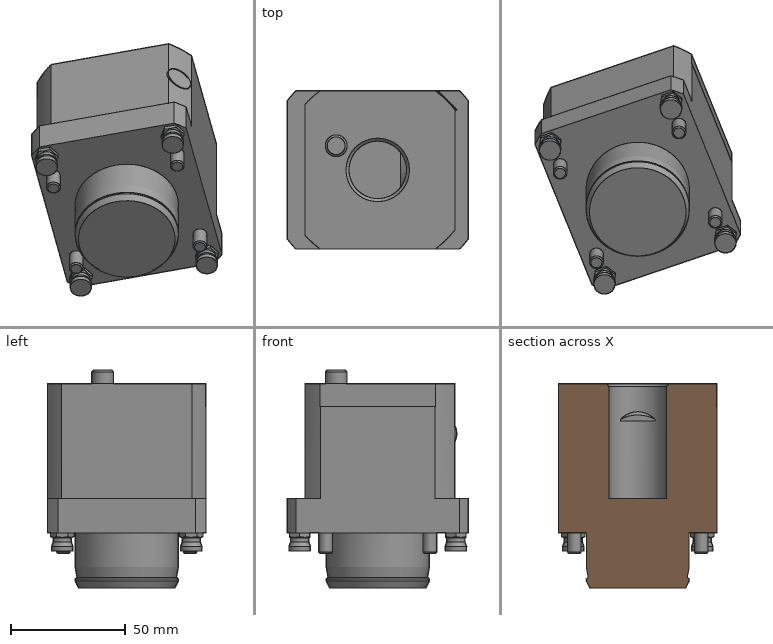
import cadquery as cq
import math

FLANGE_X = 79.0
FLANGE_Y = 69.0
FLANGE_HEIGHT = 15.0
FLANGE_CORNER_RADIUS = 49.6

HOUSING_X_MIN = -31.7
HOUSING_X_MAX = 33.6
HOUSING_HEIGHT = 50.0
HOUSING_TOP = FLANGE_HEIGHT + HOUSING_HEIGHT
HOUSING_CORNER_RADIUS = 42.6

RELIEF_HEIGHT = 10.0
RELIEF_DEPTH = 0.1

BORE_RADIUS = 12.5
BORE_CHAMFER = 1.3
BORE_DEPTH = HOUSING_HEIGHT

LUG_X = 10.0
LUG_BOTTOM = HOUSING_TOP - 16.3
LUG_CONE_RADIUS = 16.0
LUG_CONE_AXIS_Z = HOUSING_TOP - 29.7
LUG_CONE_ANGLE = 30.0

STUD_X = -18.1
STUD_Y = 10.5
STUD_DIAMETER = 9.5
STUD_HEIGHT = 6.0
STUD_CHAMFER = 0.9

BUTTON_RADIUS = 5.8
BUTTON_Z = 43.2
BUTTON_FACE_DISTANCE = 42.9
BUTTON_LENGTH = 2.9
BUTTON_DIRECTION = 45.0

SPIGOT_RADIUS = 22.5
SPIGOT_LENGTH = 24.0
SPIGOT_STRAIGHT = 15.0
SPIGOT_NECK_RADIUS = 21.7
SPIGOT_NECK_END = 19.4
SPIGOT_RIM_START = 20.0
SPIGOT_RIM_END = 21.0
SPIGOT_TIP_RADIUS = 21.0

DOWEL_DIAMETER = 6.0
DOWEL_LENGTH = 9.0
DOWEL_CHAMFER = 0.6
DOWEL_X = 22.7
DOWEL_Y = 27.6

FOOT_X = 34.0
FOOT_Y = 28.1
HEX_ACROSS_FLATS = 8.9
HEX_HEIGHT = 2.2
HEX_CHAMFER_HEIGHT = 0.6
HEX_CHAMFER_WIDTH = 1.2
HEX_TURN = 90.0
FOOT_NECK_RADIUS = 4.0
FOOT_NECK_END = 4.0
FOOT_HEAD_RADIUS = 4.75
FOOT_HEAD_WIDEST = 6.0
FOOT_LENGTH = 8.0
FOOT_TIP_RADIUS = 4.6


def round_cornered_block(x_min, x_max, bottom, height, corner_radius):
    """Box of the flange depth along Y, trimmed by a cylinder about the Z axis."""
    box = cq.Workplane("XY").box(x_max - x_min, FLANGE_Y, height, centered=(False, True, False))
    box = box.translate((x_min, 0, bottom))
    cylinder = cq.Workplane("XY").workplane(offset=bottom).circle(corner_radius).extrude(height)
    return box.intersect(cylinder)


def revolve_down(profile):
    """Revolve (radius, depth below Z = 0) points about the Z axis."""
    points = [(radius, -depth) for radius, depth in profile]
    return cq.Workplane("XZ").polyline(points).close().revolve(360, (0, 0, 0), (0, 1, 0))


def at_four_corners(shape, x, y):
    """Copies of a shape at (+-x, +-y)."""
    copies = cq.Workplane("XY")
    for sign_x in (-1, 1):
        for sign_y in (-1, 1):
            copies = copies.add(shape.translate((sign_x * x, sign_y * y, 0)))
    return copies.combine()


def make_housing():
    housing = round_cornered_block(
        HOUSING_X_MIN, HOUSING_X_MAX, FLANGE_HEIGHT, HOUSING_HEIGHT, HOUSING_CORNER_RADIUS
    )
    relief = cq.Workplane("XY").box(FLANGE_X, RELIEF_DEPTH, RELIEF_HEIGHT, centered=(True, False, False))
    return housing.cut(relief.translate((0, -FLANGE_Y / 2, HOUSING_TOP - RELIEF_HEIGHT)))


def make_bore():
    top = cq.Workplane("XY").workplane(offset=HOUSING_TOP)
    bore = top.circle(BORE_RADIUS).extrude(-BORE_DEPTH)
    mouth_radius = BORE_RADIUS + BORE_CHAMFER
    lead_in = cq.Solid.makeCone(
        mouth_radius, BORE_RADIUS, BORE_CHAMFER, cq.Vector(0, 0, HOUSING_TOP), cq.Vector(0, 0, -1)
    )
    return bore.union(cq.Workplane(lead_in))


def make_lug():
    length = BORE_RADIUS + BORE_CHAMFER - LUG_X
    base_radius = LUG_CONE_RADIUS + length * math.tan(math.radians(LUG_CONE_ANGLE))
    tip = cq.Vector(LUG_X, 0, LUG_CONE_AXIS_Z)
    cone = cq.Solid.makeCone(LUG_CONE_RADIUS, base_radius, length, tip, cq.Vector(1, 0, 0))
    height = HOUSING_TOP - LUG_BOTTOM
    keep = cq.Workplane("XY").workplane(offset=LUG_BOTTOM).circle(BORE_RADIUS + BORE_CHAMFER).extrude(height)
    return keep.intersect(cq.Workplane(cone))


def make_stud():
    stud = cq.Workplane("XY").circle(STUD_DIAMETER / 2).extrude(STUD_HEIGHT)
    return stud.faces(">Z").chamfer(STUD_CHAMFER).translate((STUD_X, STUD_Y, HOUSING_TOP))


def make_button():
    inner_distance = BUTTON_FACE_DISTANCE - BUTTON_LENGTH
    button = cq.Workplane("YZ").circle(BUTTON_RADIUS).extrude(BUTTON_LENGTH)
    button = button.translate((inner_distance, 0, BUTTON_Z))
    return button.rotate((0, 0, 0), (0, 0, 1), BUTTON_DIRECTION)


def make_spigot():
    return revolve_down([
        (0, 0),
        (SPIGOT_RADIUS, 0),
        (SPIGOT_RADIUS, SPIGOT_STRAIGHT),
        (SPIGOT_NECK_RADIUS, SPIGOT_NECK_END),
        (SPIGOT_RADIUS, SPIGOT_RIM_START),
        (SPIGOT_RADIUS, SPIGOT_RIM_END),
        (SPIGOT_TIP_RADIUS, SPIGOT_LENGTH),
        (0, SPIGOT_LENGTH),
    ])


def make_dowel():
    dowel = cq.Workplane("XY").circle(DOWEL_DIAMETER / 2).extrude(-DOWEL_LENGTH)
    return dowel.faces("<Z").chamfer(DOWEL_CHAMFER)


def make_foot():
    hex_corner_radius = HEX_ACROSS_FLATS / math.sqrt(3)
    hexagon = cq.Workplane("XY").polygon(6, 2 * hex_corner_radius).extrude(-HEX_HEIGHT)
    hexagon = hexagon.rotate((0, 0, 0), (0, 0, 1), HEX_TURN)
    corner_trim = revolve_down([
        (0, 0),
        (hex_corner_radius, 0),
        (hex_corner_radius, HEX_HEIGHT - HEX_CHAMFER_HEIGHT),
        (hex_corner_radius - HEX_CHAMFER_WIDTH, HEX_HEIGHT),
        (0, HEX_HEIGHT),
    ])
    head = revolve_down([
        (0, 0),
        (FOOT_NECK_RADIUS, 0),
        (FOOT_NECK_RADIUS, FOOT_NECK_END),
        (FOOT_HEAD_RADIUS, FOOT_HEAD_WIDEST),
        (FOOT_TIP_RADIUS, FOOT_LENGTH),
        (0, FOOT_LENGTH),
    ])
    return hexagon.intersect(corner_trim).union(head)


flange = round_cornered_block(-FLANGE_X / 2, FLANGE_X / 2, 0, FLANGE_HEIGHT, FLANGE_CORNER_RADIUS)
result = flange.union(make_housing()).cut(make_bore()).union(make_lug())
result = result.union(make_stud()).union(make_button()).union(make_spigot())
result = result.union(at_four_corners(make_dowel(), DOWEL_X, DOWEL_Y))
result = result.union(at_four_corners(make_foot(), FOOT_X, FOOT_Y))